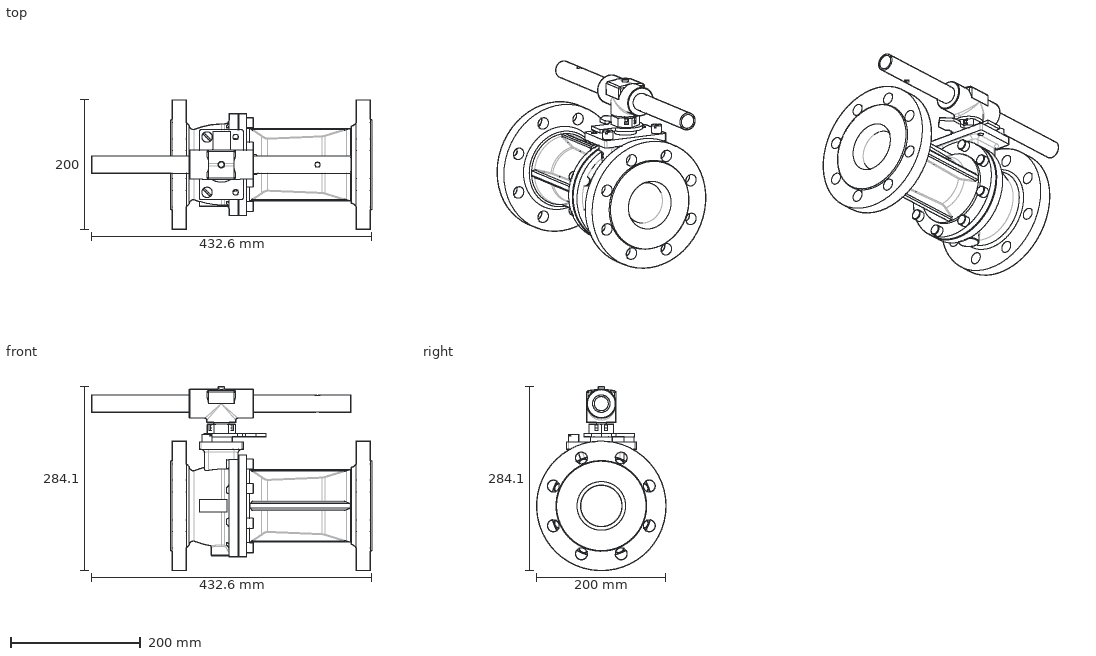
import cadquery as cq
import math

FACE_TO_FACE = 311.0
RIGHT_FACE_X = 232.6
LEFT_FACE_X = RIGHT_FACE_X - FACE_TO_FACE

FLANGE_DIA = 200.0
FLANGE_THICKNESS = 22.0
RAISED_FACE_DIA = 138.0
RAISED_FACE_BASE_DIA = 140.0
RAISED_FACE_HEIGHT = 2.5
FLANGE_HOLE_DIA = 18.0
FLANGE_HOLE_CIRCLE = 160.0
HOLE_COUNT = 8
HALF_PITCH = 180.0 / HOLE_COUNT
FLANGE_ROOT_RADIUS = 65.5

BORE_DIA = 63.5
BORE_MOUTH_DIA = 75.0
BORE_MOUTH_DEPTH = 17.3

BODY_NECK_RADIUS = 54.5
BODY_RADIUS = 63.0
BODY_NECK_X = -42.0
BODY_STRAIGHT_END_X = 5.2
JOINT_ROOT_RADIUS = 69.0
FLANGE_NECK_LENGTH = 4.4
FLANGE_NECK_RADIUS = 60.5
BODY_NECK_ARC_MID = (-47.2, 55.9)
BODY_SHOULDER_ARC_MID = (-22.0, 60.5)
JOINT_ROOT_ARC_MID = (9.8, 64.8)
JOINT_DIA = 157.2
JOINT_START_X = 12.0
JOINT_SPLIT_X = 26.5
JOINT_END_X = 39.0
BODY_JOINT_FLAT_Z = 71.8
JOINT_GROOVE_WIDTH = 1.0
JOINT_GROOVE_DEPTH = 1.0
BOLT_CIRCLE = 140.0
BOLT_HEAD_DIA = 15.84
BOLT_HEAD_HEIGHT = 10.4
BOLT_HEAD_CHAMFER = 0.8
SPOT_FACE_DEPTH = 4.0

TAIL_SHOULDER_RADIUS = 56.5
TAIL_SHOULDER_X = 43.5
TAIL_CONE_END_X = 62.3
TAIL_CONE_END_RADIUS = 44.0
TAIL_CONE_ARC_MID = (66.5, 41.3)
TAIL_WAIST_X = 71.2
TAIL_WAIST_RADIUS = 40.0
TAIL_WAIST_END_X = 155.6
TAIL_WAIST_END_RADIUS = 43.5
TAIL_FLARE_START_X = 159.7
TAIL_FLARE_START_RADIUS = 44.3
TAIL_FLARE_X = 193.2
TAIL_FLARE_RADIUS = 54.5
TAIL_LIP_X = 199.5
TAIL_LIP_RADIUS = 56.0
TAIL_STEP_X = 200.5
TAIL_STEP_RADIUS = 59.5
TAIL_ROOT_ARC_MID = (205.3, 61.8)
RIB_COUNT = 4
RIB_OUTER_RADIUS = 55.8
RIB_END_X = 200.0
RIB_ROOT_WIDTH = 12.0
RIB_TIP_WIDTH = 7.0
RIB_BEVEL = 1.8
RIB_ROOT_FILLET = 1.5

PAD_START_X = -34.0
PAD_END_X = 9.0
PAD_HEIGHT = 19.5
PAD_FACE_Y = -64.5
BOSS_DIA = 31.7
BOSS_BOTTOM_Z = -77.0
BOSS_CHAMFER = 1.0
BOSS_ROOT_FILLET = 2.0

PEDESTAL_LENGTH = 52.0
PEDESTAL_BACK_Y = 35.0
PEDESTAL_FRONT_Y = -37.0
PEDESTAL_FRONT_SLOPE = 18.0
PEDESTAL_CORNER = 6.5
PLATE_LENGTH = 68.0
PLATE_WIDTH = 108.0
PLATE_BOTTOM_Z = 87.0
PLATE_TOP_Z = 98.7
PLATE_CORNER = 3.0
PEDESTAL_TOP_FILLET = 5.5
PLATE_BOLT_X = 22.0
PLATE_BOLT_Y = 42.7
PLATE_HOLE_DIA = 8.38
SCREW_DIA = 16.0
SCREW_TOP_Z = 110.5
SCREW_SLOT_WIDTH = 2.5
SCREW_SLOT_DEPTH = 3.0
SCREW_SLOT_ANGLE = -45.0

GLAND_DIA = 33.77
STOP_BOTTOM_Z = 106.5
STOP_THICKNESS = 5.2
STOP_TOP_Z = STOP_BOTTOM_Z + STOP_THICKNESS
STOP_DISC_RADIUS = 27.0
STOP_TAB_WIDTH = 27.0
STOP_TAB_REACH = 51.5
STOP_TAB_X = 1.0
ARM_TIP_X = 69.3
ARM_HALF_WIDTH = 15.5
ARM_NECK_HALF_WIDTH = 11.0
ARM_NECK_X = 33.0
NUT_SIDES = 6
NUT_ACROSS_FLATS = 38.0
NUT_TOP_Z = 126.0
NUT_CHAMFER = 1.0
NUT_NOTCH_WIDTH = 4.5
NUT_NOTCH_Y = 7.5
NUT_NOTCH_FLOOR_X = 14.5
NUT_NOTCH_BOTTOM_Z = 116.0
NUT_TAB_X = 16.5
NUT_TAB_BOTTOM_Z = 120.0
NUT_TAB_TOP_Z = 124.5
STEM_LENGTH = 24.0
STEM_WIDTH = 15.5

HANDLE_LENGTH = 400.0
HANDLE_AXIS_Z = 157.7
TUBE_DIA = 26.9
TUBE_BORE_DIA = 21.7
TUBE_HOLE_DIA = 7.67
TUBE_HOLE_X = 148.5
HUB_DIA = 45.0
HUB_LENGTH = 99.0
HUB_CHAMFER = 1.0
SOCKET_FILLET = 3.0
SOCKET_BOTTOM_Z = 129.0
BLOCK_LENGTH = 44.0
BLOCK_WIDTH = 46.0
BLOCK_CHAMFER = 2.5
BLOCK_EAVE_Z = 178.0
BLOCK_RIDGE_Z = HANDLE_AXIS_Z + HUB_DIA / 2
BLOCK_RIDGE_WIDTH = 4.0
PIN_DIA = 10.0
PIN_TOP_Z = 184.14
PIN_CHAMFER = 0.8

FLANGE_LEFT_INNER_X = LEFT_FACE_X + RAISED_FACE_HEIGHT + FLANGE_THICKNESS
FLANGE_RIGHT_INNER_X = RIGHT_FACE_X - RAISED_FACE_HEIGHT - FLANGE_THICKNESS


def cylinder_x(diameter, start_x, end_x, y=0.0, z=0.0):
    disc = cq.Workplane("YZ", origin=(start_x, y, z)).circle(diameter / 2)
    return disc.extrude(end_x - start_x)


def cylinder_z(diameter, bottom_z, top_z, x=0.0, y=0.0):
    disc = cq.Workplane("XY", origin=(x, y, bottom_z)).circle(diameter / 2)
    return disc.extrude(top_z - bottom_z)


def block_z(length, width, bottom_z, top_z):
    rectangle = cq.Workplane("XY", origin=(0, 0, bottom_z)).rect(length, width)
    return rectangle.extrude(top_z - bottom_z)


def edge_box(low_corner, high_corner):
    """Selects the edges whose centres lie within the box, its faces included."""
    margin = 0.1
    low = tuple(value - margin for value in low_corner)
    high = tuple(value + margin for value in high_corner)
    return cq.selectors.BoxSelector(low, high)


def revolve_x(outline):
    return outline.close().revolve(360, (0, 0, 0), (1, 0, 0))


def on_circle(diameter):
    """Eight (y, z) places on a circle, straddling the vertical centre line."""
    for i in range(HOLE_COUNT):
        angle = math.radians(HALF_PITCH + i * 2 * HALF_PITCH)
        yield diameter / 2 * math.cos(angle), diameter / 2 * math.sin(angle)


def end_flange(face_x, direction):
    """Flange with a raised face; direction points from the face into the valve."""
    shoulder_x = face_x + direction * RAISED_FACE_HEIGHT
    inner_x = shoulder_x + direction * FLANGE_THICKNESS
    outline = (
        cq.Workplane("XY")
        .moveTo(face_x, 0)
        .lineTo(face_x, RAISED_FACE_DIA / 2)
        .lineTo(shoulder_x, RAISED_FACE_BASE_DIA / 2)
        .lineTo(shoulder_x, FLANGE_DIA / 2)
        .lineTo(inner_x, FLANGE_DIA / 2)
        .lineTo(inner_x, 0)
    )
    flange = revolve_x(outline)
    start_x = min(shoulder_x, inner_x)
    for y, z in on_circle(FLANGE_HOLE_CIRCLE):
        flange = flange.cut(cylinder_x(FLANGE_HOLE_DIA, start_x, start_x + FLANGE_THICKNESS, y, z))
    return flange


def body():
    outline = (
        cq.Workplane("XY")
        .moveTo(FLANGE_LEFT_INNER_X, 0)
        .lineTo(FLANGE_LEFT_INNER_X, FLANGE_ROOT_RADIUS)
        .lineTo(FLANGE_LEFT_INNER_X + FLANGE_NECK_LENGTH, FLANGE_NECK_RADIUS)
        .threePointArc(BODY_NECK_ARC_MID, (BODY_NECK_X, BODY_NECK_RADIUS))
        .threePointArc(BODY_SHOULDER_ARC_MID, (0, BODY_RADIUS))
        .lineTo(BODY_STRAIGHT_END_X, BODY_RADIUS)
        .threePointArc(JOINT_ROOT_ARC_MID, (JOINT_START_X, JOINT_ROOT_RADIUS))
        .lineTo(JOINT_START_X, JOINT_DIA / 2)
        .lineTo(JOINT_SPLIT_X, JOINT_DIA / 2)
        .lineTo(JOINT_SPLIT_X, 0)
    )
    shell = revolve_x(outline)
    flat = cq.Workplane("XY").box(
        JOINT_SPLIT_X - JOINT_START_X, JOINT_DIA, JOINT_DIA, centered=(False, True, False)
    )
    return shell.cut(flat.translate((JOINT_START_X, 0, BODY_JOINT_FLAT_Z)))


def spot_faces():
    """Cutters that clear the body side of the joint behind each bolt."""
    cutters = cq.Workplane("XY")
    for y, z in on_circle(BOLT_CIRCLE):
        start_x = JOINT_START_X - SPOT_FACE_DEPTH
        cutters = cutters.add(cylinder_x(BOLT_HEAD_DIA, start_x, JOINT_START_X, y, z))
    return cutters.combine()


def side_pad():
    pad = cq.Workplane("XY").box(
        PAD_END_X - PAD_START_X, -PAD_FACE_Y, PAD_HEIGHT, centered=(False, False, True)
    )
    return pad.translate((PAD_START_X, PAD_FACE_Y, 0))


def body_with_boss():
    boss = cylinder_z(BOSS_DIA, BOSS_BOTTOM_Z, 0).faces("<Z").chamfer(BOSS_CHAMFER)
    radius = BOSS_DIA / 2
    root = edge_box((-radius, -radius, -BODY_RADIUS), (radius, radius, -BODY_NECK_RADIUS))
    return body().union(boss).edges(root).fillet(BOSS_ROOT_FILLET)


def tailpiece():
    outline = (
        cq.Workplane("XY")
        .moveTo(JOINT_SPLIT_X, 0)
        .lineTo(JOINT_SPLIT_X, JOINT_DIA / 2)
        .lineTo(JOINT_END_X, JOINT_DIA / 2)
        .lineTo(JOINT_END_X, TAIL_SHOULDER_RADIUS)
        .lineTo(TAIL_SHOULDER_X, TAIL_SHOULDER_RADIUS)
        .lineTo(TAIL_CONE_END_X, TAIL_CONE_END_RADIUS)
        .threePointArc(TAIL_CONE_ARC_MID, (TAIL_WAIST_X, TAIL_WAIST_RADIUS))
        .lineTo(TAIL_WAIST_END_X, TAIL_WAIST_END_RADIUS)
        .lineTo(TAIL_FLARE_START_X, TAIL_FLARE_START_RADIUS)
        .lineTo(TAIL_FLARE_X, TAIL_FLARE_RADIUS)
        .lineTo(TAIL_LIP_X, TAIL_LIP_RADIUS)
        .lineTo(TAIL_STEP_X, TAIL_STEP_RADIUS)
        .threePointArc(TAIL_ROOT_ARC_MID, (FLANGE_RIGHT_INNER_X, FLANGE_ROOT_RADIUS))
        .lineTo(FLANGE_RIGHT_INNER_X, 0)
    )
    return revolve_x(outline)


def joint_groove():
    ring = cylinder_x(
        JOINT_DIA, JOINT_SPLIT_X - JOINT_GROOVE_WIDTH / 2, JOINT_SPLIT_X + JOINT_GROOVE_WIDTH / 2
    )
    return ring.cut(cylinder_x(JOINT_DIA - 2 * JOINT_GROOVE_DEPTH, JOINT_START_X, JOINT_END_X))


def joint_bolts():
    heads = cq.Workplane("XY")
    for y, z in on_circle(BOLT_CIRCLE):
        head = cylinder_x(BOLT_HEAD_DIA, JOINT_END_X, JOINT_END_X + BOLT_HEAD_HEIGHT, y, z)
        heads = heads.add(head.faces(">X").chamfer(BOLT_HEAD_CHAMFER))
    return heads.combine()


def tail_ribs():
    section = (
        cq.Workplane("YZ", origin=(JOINT_END_X, 0, 0))
        .moveTo(-RIB_ROOT_WIDTH / 2, BORE_DIA / 2)
        .lineTo(-RIB_ROOT_WIDTH / 2, RIB_OUTER_RADIUS - RIB_BEVEL)
        .lineTo(-RIB_TIP_WIDTH / 2, RIB_OUTER_RADIUS)
        .lineTo(RIB_TIP_WIDTH / 2, RIB_OUTER_RADIUS)
        .lineTo(RIB_ROOT_WIDTH / 2, RIB_OUTER_RADIUS - RIB_BEVEL)
        .lineTo(RIB_ROOT_WIDTH / 2, BORE_DIA / 2)
        .close()
    )
    rib = section.extrude(RIB_END_X - JOINT_END_X)
    ribs = cq.Workplane("XY")
    for i in range(RIB_COUNT):
        ribs = ribs.add(rib.rotate((0, 0, 0), (1, 0, 0), i * 360 / RIB_COUNT))
    return ribs.combine()


def ribbed_tailpiece():
    tail = tailpiece().union(tail_ribs())
    half_width = RIB_ROOT_WIDTH / 2
    low_r = TAIL_WAIST_RADIUS - RIB_BEVEL
    high_r = RIB_OUTER_RADIUS - 2 * RIB_BEVEL
    for side in (-1, 1):
        low_z, high_z = sorted((side * low_r, side * high_r))
        vertical_rib = edge_box(
            (TAIL_SHOULDER_X, -half_width, low_z), (RIB_END_X, half_width, high_z)
        )
        tail = tail.edges(vertical_rib).fillet(RIB_ROOT_FILLET)
        level_rib = edge_box(
            (TAIL_SHOULDER_X, low_z, -half_width), (RIB_END_X, high_z, half_width)
        )
        tail = tail.edges(level_rib).fillet(RIB_ROOT_FILLET)
    return tail


def flow_passage():
    mouth = BORE_MOUTH_DIA / 2
    bore = BORE_DIA / 2
    outline = (
        cq.Workplane("XY")
        .moveTo(LEFT_FACE_X, 0)
        .lineTo(LEFT_FACE_X, mouth)
        .lineTo(LEFT_FACE_X + BORE_MOUTH_DEPTH, bore)
        .lineTo(RIGHT_FACE_X - BORE_MOUTH_DEPTH, bore)
        .lineTo(RIGHT_FACE_X, mouth)
        .lineTo(RIGHT_FACE_X, 0)
    )
    return revolve_x(outline)


def pedestal_and_plate():
    """Column whose -Y face leans inward towards the pipe axis, blended into the plate."""
    lean = PLATE_BOTTOM_Z * math.tan(math.radians(PEDESTAL_FRONT_SLOPE))
    column = (
        cq.Workplane("YZ", origin=(-PEDESTAL_LENGTH / 2, 0, 0))
        .moveTo(PEDESTAL_BACK_Y, 0)
        .lineTo(PEDESTAL_BACK_Y, PLATE_BOTTOM_Z)
        .lineTo(PEDESTAL_FRONT_Y, PLATE_BOTTOM_Z)
        .lineTo(PEDESTAL_FRONT_Y + lean, 0)
        .close()
        .extrude(PEDESTAL_LENGTH)
        .edges("(not |X) and (not |Y)")
        .fillet(PEDESTAL_CORNER)
    )
    plate = block_z(PLATE_LENGTH, PLATE_WIDTH, PLATE_BOTTOM_Z, PLATE_TOP_Z)
    plate = plate.edges("|Z").fillet(PLATE_CORNER)
    joint_edges = edge_box(
        (-PEDESTAL_LENGTH / 2, PEDESTAL_FRONT_Y, PLATE_BOTTOM_Z),
        (PEDESTAL_LENGTH / 2, PEDESTAL_BACK_Y, PLATE_BOTTOM_Z),
    )
    return column.union(plate).edges(joint_edges).fillet(PEDESTAL_TOP_FILLET)


def plate_screws():
    return plate_screw(PLATE_BOLT_Y).add(plate_screw(-PLATE_BOLT_Y)).combine()


def plate_screw(y):
    screw = cylinder_z(SCREW_DIA, PLATE_TOP_Z, SCREW_TOP_Z)
    slot = block_z(SCREW_DIA, SCREW_SLOT_WIDTH, SCREW_TOP_Z - SCREW_SLOT_DEPTH, SCREW_TOP_Z)
    slot = slot.rotate((0, 0, 0), (0, 0, 1), SCREW_SLOT_ANGLE)
    return screw.cut(slot).translate((-PLATE_BOLT_X, y, 0))


def plate_holes():
    holes = cq.Workplane("XY")
    for side in (-1, 1):
        y = side * PLATE_BOLT_Y
        holes = holes.add(cylinder_z(PLATE_HOLE_DIA, PLATE_BOTTOM_Z, PLATE_TOP_Z, PLATE_BOLT_X, y))
    return holes.combine()


def stop_plate():
    disc = cylinder_z(2 * STOP_DISC_RADIUS, STOP_BOTTOM_Z, STOP_TOP_Z)
    tab = block_z(STOP_TAB_WIDTH, STOP_TAB_REACH, STOP_BOTTOM_Z, STOP_TOP_Z)
    tab = tab.translate((STOP_TAB_X, STOP_TAB_REACH / 2, 0))
    shoulder_x = ARM_NECK_X + ARM_HALF_WIDTH - ARM_NECK_HALF_WIDTH
    arm = (
        cq.Workplane("XY", origin=(0, 0, STOP_BOTTOM_Z))
        .moveTo(0, 0)
        .lineTo(0, ARM_NECK_HALF_WIDTH)
        .lineTo(ARM_NECK_X, ARM_NECK_HALF_WIDTH)
        .lineTo(shoulder_x, ARM_HALF_WIDTH)
        .lineTo(ARM_TIP_X - ARM_HALF_WIDTH, ARM_HALF_WIDTH)
        .lineTo(ARM_TIP_X, 0)
        .close()
        .extrude(STOP_THICKNESS)
    )
    return disc.union(tab).union(arm).union(arm.mirror("XZ"))


def gland_nut():
    """Hexagon nut with open notches on its -X and +X sides, each holding a bent lock tab."""
    corner_dia = NUT_ACROSS_FLATS / math.cos(math.pi / NUT_SIDES)
    nut = cq.Workplane("XY", origin=(0, 0, STOP_TOP_Z)).polygon(NUT_SIDES, corner_dia)
    nut = nut.extrude(NUT_TOP_Z - STOP_TOP_Z)
    rounding = cylinder_z(corner_dia, STOP_TOP_Z, NUT_TOP_Z).faces(">Z").chamfer(NUT_CHAMFER)
    nut = nut.intersect(rounding)
    for side in (-1, 1):
        y = side * NUT_NOTCH_Y
        slots = block_z(corner_dia, NUT_NOTCH_WIDTH, NUT_NOTCH_BOTTOM_Z, NUT_TOP_Z)
        slots = slots.cut(block_z(2 * NUT_NOTCH_FLOOR_X, NUT_NOTCH_WIDTH, 0, NUT_TOP_Z))
        nut = nut.cut(slots.translate((0, y, 0)))
        tabs = block_z(2 * NUT_TAB_X, NUT_NOTCH_WIDTH, NUT_TAB_BOTTOM_Z, NUT_TAB_TOP_Z)
        nut = nut.union(tabs.translate((0, y, 0)))
    return nut


def handle_block():
    half_width = BLOCK_WIDTH / 2
    outline = (
        cq.Workplane("YZ", origin=(-BLOCK_LENGTH / 2, 0, 0))
        .moveTo(-half_width, HANDLE_AXIS_Z)
        .lineTo(-half_width, BLOCK_EAVE_Z - BLOCK_CHAMFER)
        .lineTo(-half_width + BLOCK_CHAMFER, BLOCK_EAVE_Z)
        .lineTo(-BLOCK_RIDGE_WIDTH / 2, BLOCK_RIDGE_Z)
        .lineTo(BLOCK_RIDGE_WIDTH / 2, BLOCK_RIDGE_Z)
        .lineTo(half_width - BLOCK_CHAMFER, BLOCK_EAVE_Z)
        .lineTo(half_width, BLOCK_EAVE_Z - BLOCK_CHAMFER)
        .lineTo(half_width, HANDLE_AXIS_Z)
        .close()
    )
    return outline.extrude(BLOCK_LENGTH).faces("<X or >X").chamfer(BLOCK_CHAMFER)


def handle():
    """Tee hub with a tube bored from both ends; the hub stays solid above the socket."""
    half = HANDLE_LENGTH / 2
    hub = cylinder_x(HUB_DIA, -HUB_LENGTH / 2, HUB_LENGTH / 2, 0, HANDLE_AXIS_Z)
    hub = hub.faces("<X or >X").chamfer(HUB_CHAMFER)
    socket = cylinder_z(HUB_DIA, SOCKET_BOTTOM_Z, HANDLE_AXIS_Z)
    radius = HUB_DIA / 2
    crotch = edge_box(
        (-radius, -radius, HANDLE_AXIS_Z - radius), (radius, radius, HANDLE_AXIS_Z - HUB_CHAMFER)
    )
    hub = hub.union(socket).edges(crotch).fillet(SOCKET_FILLET)
    tube = cylinder_x(TUBE_DIA, -half, half, 0, HANDLE_AXIS_Z)
    pin = cylinder_z(PIN_DIA, HANDLE_AXIS_Z, PIN_TOP_Z).faces(">Z").chamfer(PIN_CHAMFER)
    solid = hub.union(tube).union(handle_block()).union(pin)
    for start_x, end_x in ((-half, -HUB_DIA / 2), (HUB_DIA / 2, half)):
        solid = solid.cut(cylinder_x(TUBE_BORE_DIA, start_x, end_x, 0, HANDLE_AXIS_Z))
    return solid.cut(
        cylinder_z(TUBE_HOLE_DIA, HANDLE_AXIS_Z - TUBE_DIA, HANDLE_AXIS_Z + TUBE_DIA, TUBE_HOLE_X)
    )


valve = body_with_boss().union(ribbed_tailpiece())
valve = valve.union(end_flange(LEFT_FACE_X, 1)).union(end_flange(RIGHT_FACE_X, -1))
valve = valve.cut(joint_groove())
valve = valve.union(joint_bolts())
valve = valve.union(side_pad())
valve = valve.union(pedestal_and_plate()).union(plate_screws())
valve = valve.cut(spot_faces()).cut(plate_holes()).cut(flow_passage())

stem = block_z(STEM_LENGTH, STEM_WIDTH, NUT_TOP_Z, SOCKET_BOTTOM_Z)
stack = cylinder_z(GLAND_DIA, PLATE_TOP_Z, STOP_BOTTOM_Z).union(stop_plate()).union(gland_nut())
stack = stack.union(stem).union(handle())

result = valve.union(stack)